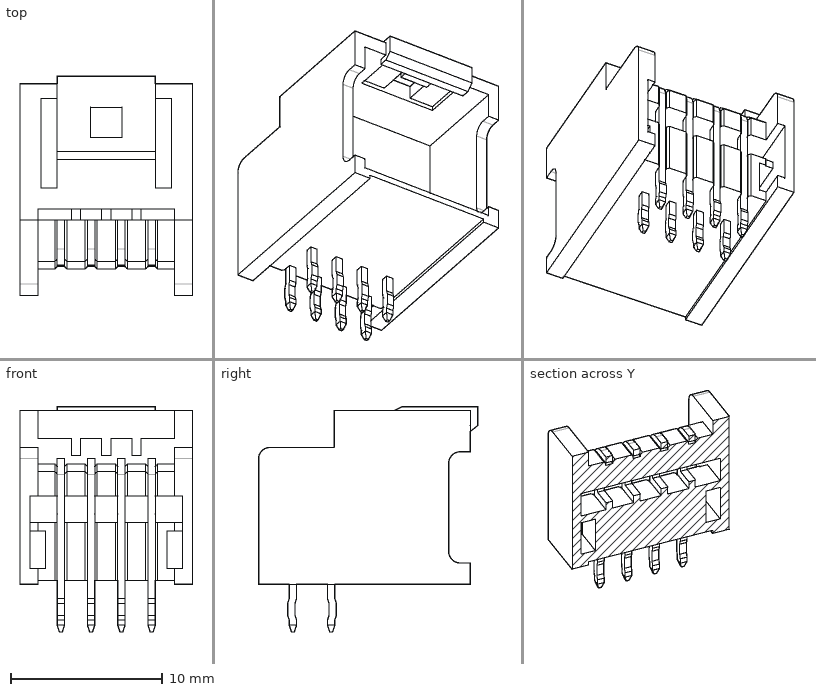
import cadquery as cq
import math


WIDTH = 11.4
DEPTH = 14.0
HEIGHT = 11.5
STEP_Y = 5.0
WALL_TOP = 9.05
CORNER_RADIUS = 0.75
INNER_HALF = 4.5
UNDERCUT = 0.25

NOTCH_Y = 12.57
NOTCH_BOTTOM = 1.42
NOTCH_TOP = 8.75
CAVITY_HALF = 4.9
CAVITY_FRONT = 7.0
CAVITY_BOTTOM = 0.7
CAVITY_TOP = 10.5

LATCH_HALF = 3.25
LATCH_RISE = 0.25
LATCH_OVERHANG = 0.5
LATCH_RAMP_START = 9.0
LATCH_RAMP_LENGTH = 0.5
LIP_FRONT = 13.4
LIP_BOTTOM = 10.1
RELIEF_HALF = 2.8
RELIEF_TOP = 10.8
WINDOW_WIDTH = 2.05
WINDOW_FRONT = 10.45
WINDOW_BACK = 12.43
SLOT_OUTER = 4.3
SLOT_FRONT = 7.1
SLOT_BACK = 13.0
SLOT_DEPTH = 0.85

RECESS_Y = 5.7
RECESS_BOTTOM = 9.65
NOTCH_WIDTH = 0.6
COMB_NOTCH_BOTTOM = 8.5

PIN_COUNT = 4
PITCH = 2.0
PIN_SIZE = 0.5
FRONT_PIN_Y = 2.02
REAR_PIN_Y = 4.55
PIN_TOP = 8.3
BEND_RADIUS = 1.05
PIN_BOTTOM = -3.15
TIP_TOP = -2.7
TIP_SIZE = 0.2
KINK_OFFSET = 0.1
KINK_LEVELS = (-0.95, -1.25, -2.05, -2.35)
PIN_EMBED = 0.5

RIB_FRONT = 1.75
RIB_TOP = 7.95
RIB_CHAMFER = 0.5
GROOVE_CHAMFER = 0.15
GROOVE_DEPTH = 0.3
GROOVE_HALF = PIN_SIZE / 2 + GROOVE_CHAMFER

CROSS_SLOT_BOTTOM = 4.1
CROSS_SLOT_TOP = 5.85
POCKET_BACK = 4.0
POCKET_HALF = 5.03
POCKET_BOTTOM = 1.05
NAIL_SLOT_INNER = 4.02
NAIL_SLOT_TOP = 3.52
TAB_FRONT = 1.82
RIDGE_TOP = 4.65


def box(x0, x1, y0, y1, z0, z1):
    return cq.Workplane("XY").box(x1 - x0, y1 - y0, z1 - z0, centered=False).translate((x0, y0, z0))


def both_sides(x0, x1, y0, y1, z0, z1):
    """A box and its mirror image on the other side of X = 0."""
    return box(x0, x1, y0, y1, z0, z1).union(box(-x1, -x0, y0, y1, z0, z1))


def side_profile(points, x0, x1):
    """Extrude a closed (Y, Z) outline from x0 to x1."""
    return cq.Workplane("YZ", origin=(x0, 0, 0)).polyline(points).close().extrude(x1 - x0)


def pin_centres():
    first = -PITCH * (PIN_COUNT - 1) / 2
    return [first + PITCH * i for i in range(PIN_COUNT)]


def make_shell():
    half = WIDTH / 2
    shell = box(-half, half, STEP_Y, DEPTH, 0, HEIGHT)
    walls = both_sides(INNER_HALF, half, 0, STEP_Y, 0, WALL_TOP)
    walls = walls.edges("|X and >Z and <Y").fillet(CORNER_RADIUS)
    shell = shell.union(walls)
    shell = shell.cut(box(-INNER_HALF, INNER_HALF, STEP_Y, DEPTH, 0, UNDERCUT))
    rear_notch = box(-half, half, NOTCH_Y, DEPTH + CORNER_RADIUS, NOTCH_BOTTOM, NOTCH_TOP)
    rear_notch = rear_notch.edges("|X and <Y").fillet(CORNER_RADIUS)
    shell = shell.cut(rear_notch)
    return shell.cut(box(-CAVITY_HALF, CAVITY_HALF, CAVITY_FRONT, DEPTH, CAVITY_BOTTOM, CAVITY_TOP))


def add_latch(body):
    top = HEIGHT + LATCH_RISE
    rear = DEPTH + LATCH_OVERHANG
    outline = [
        (LATCH_RAMP_START, CAVITY_TOP),
        (LATCH_RAMP_START, HEIGHT),
        (LATCH_RAMP_START + LATCH_RAMP_LENGTH, top),
        (rear, top),
        (rear, CAVITY_TOP),
        (DEPTH, LIP_BOTTOM),
        (LIP_FRONT, LIP_BOTTOM),
        (LIP_FRONT, CAVITY_TOP),
    ]
    body = body.union(side_profile(outline, -LATCH_HALF, LATCH_HALF))
    half = WINDOW_WIDTH / 2
    relief = box(-RELIEF_HALF, RELIEF_HALF, WINDOW_FRONT, LIP_FRONT, CAVITY_TOP, RELIEF_TOP)
    stop = box(-half, half, WINDOW_BACK, LIP_FRONT, CAVITY_TOP, RELIEF_TOP)
    body = body.cut(relief.cut(stop))
    window = box(-half, half, WINDOW_FRONT, WINDOW_BACK, CAVITY_TOP, top)
    slots = both_sides(LATCH_HALF, SLOT_OUTER, SLOT_FRONT, SLOT_BACK, HEIGHT - SLOT_DEPTH, HEIGHT)
    return body.cut(window).cut(slots)


def cut_front_recess(body):
    body = body.cut(box(-INNER_HALF, INNER_HALF, STEP_Y, RECESS_Y, RECESS_BOTTOM, HEIGHT))
    centres = pin_centres()
    for left, right in zip(centres, centres[1:]):
        middle = (left + right) / 2
        x0 = middle - NOTCH_WIDTH / 2
        body = body.cut(box(x0, x0 + NOTCH_WIDTH, STEP_Y, RECESS_Y, COMB_NOTCH_BOTTOM, RECESS_BOTTOM))
    return body


def rib_outline(inset):
    """Rib side outline with its front and top faces moved inwards."""
    front = RIB_FRONT + inset
    top = RIB_TOP - inset
    return [
        (STEP_Y, UNDERCUT),
        (front, UNDERCUT),
        (front, top - RIB_CHAMFER),
        (front + RIB_CHAMFER, top),
        (STEP_Y, top),
    ]


def rib_flank(x_face, x_wall):
    """Bevelled side of a rib, from its full outline to the groove wall."""
    return (
        cq.Workplane("YZ", origin=(x_face, 0, 0))
        .polyline(rib_outline(0)).close()
        .workplane(offset=x_wall - x_face)
        .polyline(rib_outline(GROOVE_CHAMFER)).close()
        .loft(ruled=True)
    )


def add_ribs(body):
    body = body.union(side_profile(rib_outline(GROOVE_DEPTH), -INNER_HALF, INNER_HALF))
    centres = pin_centres()
    starts = [-INNER_HALF] + [x + GROOVE_HALF for x in centres]
    ends = [x - GROOVE_HALF for x in centres] + [INNER_HALF]
    for x0, x1 in zip(starts, ends):
        body = body.union(side_profile(rib_outline(0), x0, x1))
    for x in centres:
        for side in (-1, 1):
            body = body.union(rib_flank(x + side * GROOVE_HALF, x + side * PIN_SIZE / 2))
    return body


def cut_pockets(body):
    cross_slot = box(-POCKET_HALF, POCKET_HALF, 0, POCKET_BACK, CROSS_SLOT_BOTTOM, CROSS_SLOT_TOP)
    wall_pockets = both_sides(INNER_HALF, POCKET_HALF, 0, POCKET_BACK, POCKET_BOTTOM, CROSS_SLOT_BOTTOM)
    nail_slots = both_sides(NAIL_SLOT_INNER, INNER_HALF, 0, POCKET_BACK, POCKET_BOTTOM, NAIL_SLOT_TOP)
    tabs = both_sides(INNER_HALF, POCKET_HALF, TAB_FRONT, POCKET_BACK, NAIL_SLOT_TOP, CROSS_SLOT_BOTTOM)
    body = body.cut(cross_slot).cut(wall_pockets).cut(nail_slots).union(tabs)
    half = PIN_SIZE / 2
    for x in pin_centres():
        ridge_front = FRONT_PIN_Y + PIN_SIZE
        body = body.union(box(x - half, x + half, ridge_front, POCKET_BACK, CROSS_SLOT_BOTTOM, RIDGE_TOP))
    return body


def pin_leg(x, y, top, kink):
    """Straight leg with a sideways kink and a pointed tip; y is its front face."""
    k0, k1, k2, k3 = KINK_LEVELS
    path = [(y, top), (y, k0), (y + kink, k1), (y + kink, k2), (y, k3), (y, TIP_TOP)]
    back = [(py + PIN_SIZE, pz) for py, pz in reversed(path)]
    leg = side_profile(path + back, x - PIN_SIZE / 2, x + PIN_SIZE / 2)
    tip = (
        cq.Workplane("XY", origin=(x, y + PIN_SIZE / 2, TIP_TOP))
        .rect(PIN_SIZE, PIN_SIZE)
        .workplane(offset=PIN_BOTTOM - TIP_TOP)
        .rect(TIP_SIZE, TIP_SIZE)
        .loft(ruled=True)
    )
    return leg.union(tip)


def pin_bend(x):
    """Upper end of a front contact: an arm from the housing bent downwards."""
    arm_end = STEP_Y + PIN_EMBED
    inner_radius = BEND_RADIUS - PIN_SIZE
    centre_y = FRONT_PIN_Y + BEND_RADIUS
    centre_z = PIN_TOP - BEND_RADIUS
    arc = math.sqrt(0.5)
    outer_mid = (centre_y - BEND_RADIUS * arc, centre_z + BEND_RADIUS * arc)
    inner_mid = (centre_y - inner_radius * arc, centre_z + inner_radius * arc)
    return (
        cq.Workplane("YZ", origin=(x - PIN_SIZE / 2, 0, 0))
        .moveTo(FRONT_PIN_Y, centre_z)
        .threePointArc(outer_mid, (centre_y, PIN_TOP))
        .lineTo(arm_end, PIN_TOP)
        .lineTo(arm_end, PIN_TOP - PIN_SIZE)
        .lineTo(centre_y, PIN_TOP - PIN_SIZE)
        .threePointArc(inner_mid, (FRONT_PIN_Y + PIN_SIZE, centre_z))
        .close()
        .extrude(PIN_SIZE)
    )


def add_pins(body):
    for x in pin_centres():
        body = body.union(pin_leg(x, FRONT_PIN_Y, PIN_TOP - BEND_RADIUS, -KINK_OFFSET))
        body = body.union(pin_bend(x))
        body = body.union(pin_leg(x, REAR_PIN_Y, UNDERCUT + PIN_EMBED, KINK_OFFSET))
    return body


result = make_shell()
result = add_latch(result)
result = cut_front_recess(result)
result = add_ribs(result)
result = cut_pockets(result)
result = add_pins(result)